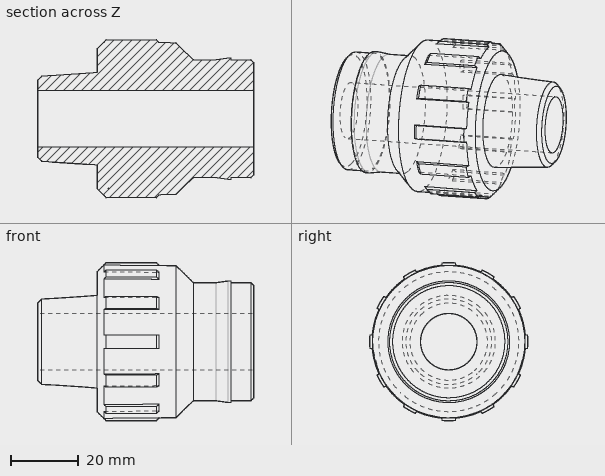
import cadquery as cq

length = 64.0
tip_chamfer = 1.2
nut_start = 17.6
nut_end = 40.95
neck_start = 46.1
ridge_ramp_start = 52.75
ridge_start = 56.3
ridge_end = 57.3
end_chamfer = 0.9

bore_radius = 16.65 / 2
tip_radius = 12.7
spigot_radius = 13.75
nut_face_radius = 20.75
nut_front_radius = 22.8
nut_back_radius = 22.5
neck_radius = 35.0 / 2
ridge_radius = 36.0 / 2

rib_count = 12
rib_width = 4.1
rib_top_radius = 23.4
rib_top_end = 35.15
rib_root_radius = 21.1

chamfer_cut_radius = 25.6


def revolve_about_x(profile):
    """Revolve a closed outline of (x, radius) points about the X axis."""
    return cq.Workplane("XY").polyline(profile).close().revolve(360, (0, 0, 0), (1, 0, 0))


def make_body():
    """Spigot, nut and ridged neck, with the bore running right through."""
    return revolve_about_x([
        (0, bore_radius),
        (0, tip_radius - tip_chamfer),
        (tip_chamfer, tip_radius),
        (nut_start, spigot_radius),
        (nut_start, nut_front_radius),
        (nut_end, nut_back_radius),
        (neck_start, neck_radius),
        (ridge_ramp_start, neck_radius),
        (ridge_start, ridge_radius),
        (ridge_end, ridge_radius),
        (ridge_end, neck_radius),
        (length - end_chamfer, neck_radius),
        (length, neck_radius - end_chamfer),
        (length, bore_radius),
    ])


def make_rib():
    """One rib at +Z with a round top and a back end sloped at 45 degrees."""
    band = revolve_about_x([
        (nut_start, rib_root_radius),
        (nut_start, rib_top_radius),
        (rib_top_end, rib_top_radius),
        (rib_top_end + rib_top_radius - rib_root_radius, rib_root_radius),
    ])
    slab = cq.Workplane("XY").box(length, rib_width, chamfer_cut_radius, centered=(False, True, False))
    return band.intersect(slab)


def make_nut_chamfer():
    """Ring that cuts one 45 degree chamfer across the nut front and the rib ends."""
    return revolve_about_x([
        (nut_start, nut_face_radius),
        (nut_start, chamfer_cut_radius),
        (nut_start + chamfer_cut_radius - nut_face_radius, chamfer_cut_radius),
    ])


half_pitch = 360 / rib_count / 2
result = make_body().rotate((0, 0, 0), (1, 0, 0), half_pitch)
rib = make_rib()
for i in range(rib_count):
    result = result.union(rib.rotate((0, 0, 0), (1, 0, 0), i * 360 / rib_count))
result = result.cut(make_nut_chamfer().rotate((0, 0, 0), (1, 0, 0), half_pitch))